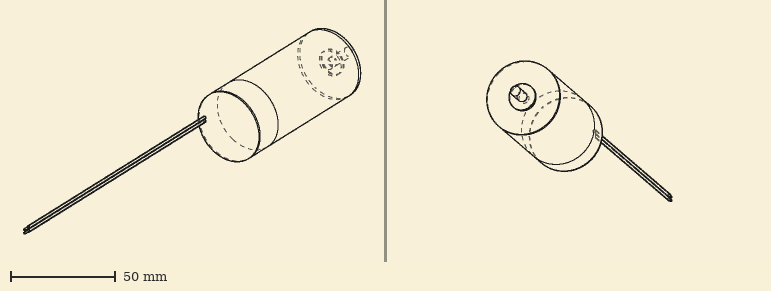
import cadquery as cq

total_length = 245.0
body_diameter = 36.0
shaft_diameter = 5.0
shaft_free_length = 12.7
boss_diameter = 13.0
washer_thickness = 0.7
boss_height = 1.5
front_cover_thickness = 1.7
housing_length = 65.6
end_cap_length = 14.7
end_plate_thickness = 1.0
insulation_diameter = 1.6
conductor_diameter = 1.0
conductor_bare_length = 3.2
lead_spacing = 1.84
lead_inset = 3.2

shaft_tip = 0.0
washer_front = shaft_tip - shaft_free_length
boss_front = washer_front - washer_thickness
cover_front = boss_front - boss_height
housing_front = cover_front - front_cover_thickness
end_cap_front = housing_front - housing_length
end_plate_front = end_cap_front - end_cap_length
end_plate_back = end_plate_front - end_plate_thickness
lead_end = shaft_tip - total_length
insulation_end = lead_end + conductor_bare_length

lead_x = -(body_diameter / 2 - lead_inset - insulation_diameter / 2)
lead_centres = [(lead_x, side * lead_spacing / 2) for side in (-1, 1)]


def cylinder(diameter, front, back, x=0.0, z=0.0):
    """Solid cylinder parallel to Y between two stations, centred at (x, z)."""
    plane = cq.Plane(origin=(x, back, z), xDir=(1, 0, 0), normal=(0, 1, 0))
    return cq.Workplane(plane).circle(diameter / 2).extrude(front - back)


def make_shaft():
    """Output shaft, reaching through the washer and the front cover to the housing."""
    return cylinder(shaft_diameter, shaft_tip, housing_front)


def make_washer():
    """Thin ring around the shaft, lying on the boss of the front cover."""
    ring = cylinder(boss_diameter, washer_front, boss_front)
    return ring.cut(cylinder(shaft_diameter, washer_front, boss_front))


def make_front_cover():
    """Disc with a central boss, bored for the shaft."""
    disc = cylinder(body_diameter, cover_front, housing_front)
    boss = cylinder(boss_diameter, boss_front, cover_front)
    shaft_bore = cylinder(shaft_diameter, boss_front, housing_front)
    return disc.union(boss).cut(shaft_bore)


def make_housing():
    return cylinder(body_diameter, housing_front, end_cap_front)


def make_end_cap():
    return cylinder(body_diameter, end_cap_front, end_plate_front)


def make_end_plate():
    return cylinder(body_diameter, end_plate_front, end_plate_back)


def make_insulation(x, z):
    """Sleeve of one lead, stopping short of the conductor end."""
    sleeve = cylinder(insulation_diameter, end_plate_back, insulation_end, x, z)
    return sleeve.cut(cylinder(conductor_diameter, end_plate_back, insulation_end, x, z))


def make_conductor(x, z):
    """Core of one lead, from the end plate to the bare end."""
    return cylinder(conductor_diameter, end_plate_back, lead_end, x, z)


shaft = make_shaft()
washer = make_washer()
front_cover = make_front_cover()
housing = make_housing()
end_cap = make_end_cap()
end_plate = make_end_plate()
insulations = [make_insulation(x, z) for x, z in lead_centres]
conductors = [make_conductor(x, z) for x, z in lead_centres]

motor_bodies = [shaft, washer, front_cover, housing, end_cap, end_plate]
lead_bodies = insulations + conductors
result = cq.Compound.makeCompound([body.solids().val() for body in motor_bodies + lead_bodies])